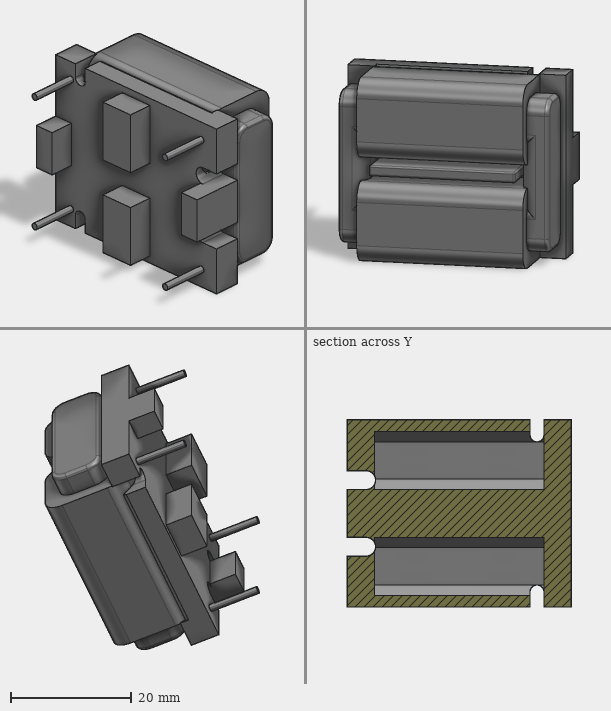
import cadquery as cq

plate_length = 37.34
plate_height = 31.23
plate_thickness = 5.0

pocket_length = 28.18
pocket_floor_y = 1.47
pocket_floor_end_z = 11.93
lip_tip_y = 4.01
lip_tip_z = 15.32
lip_edge_y = 3.47

edge_slot_width = 2.28
edge_slot_end_z = pocket_floor_end_z
side_slot_width = 3.1
side_slot_end_x = 13.95

foot_depth = 4.62
end_foot_length = 3.65
end_foot_height = 8.0
middle_foot_length = 6.4
middle_foot_height = 10.95
middle_foot_z = 8.78
pin_diameter = 1.2
pin_length = 8.66
pin_x = 15.15
pin_z = 12.27

core_length = 36.06
core_depth = 8.97
core_height = 26.06
core_y = 9.98
core_corner_radius = 2.58
core_end_radius = 0.72
window_length = 26.28
window_height = 9.14

winding_length = 28.45
winding_gap = 4.05
winding_depth = 14.4
winding_height = (plate_height - winding_gap) / 2
winding_z = (plate_height + winding_gap) / 4
winding_corner_radius = 3.12

divider_length = 25.0
divider_thickness = 1.8
divider_top_y = 15.6
divider_edge_radius = 0.3

SIDES = (-1, 1)


def block(length, height, y_start, y_end, x=0, z=0):
    """Box centred on (x, z) and reaching from y_start to y_end."""
    box = cq.Workplane("XY").box(length, y_end - y_start, height)
    return box.translate((x, (y_start + y_end) / 2, z))


def make_pockets():
    """One trapezoidal pocket per winding, with a ridge left standing between the two."""
    edge_z = plate_height / 2
    upper_half = [
        (lip_tip_y, 0),
        (lip_tip_y, 2 * winding_z - lip_tip_z),
        (pocket_floor_y, 2 * winding_z - pocket_floor_end_z),
        (pocket_floor_y, pocket_floor_end_z),
        (lip_tip_y, lip_tip_z),
        (lip_edge_y, edge_z),
        (plate_thickness, edge_z),
        (plate_thickness, 0),
    ]
    outline = cq.Workplane("YZ").polyline(upper_half).close()
    pocket = outline.extrude(pocket_length / 2, both=True)
    return pocket.union(pocket.mirror("XY"))


def open_slot(radius, x, z, mouth):
    """Slot through the plate: a round end centred on (x, z) joined to the straight mouth."""
    end = cq.Workplane("XZ").center(x, z).circle(radius).extrude(-plate_thickness)
    return end.union(mouth)


def make_edge_slot(side):
    """Slot running along Z out of the top or bottom edge, beside the -X end of the pockets."""
    radius = edge_slot_width / 2
    x = radius - pocket_length / 2
    z = side * (edge_slot_end_z + radius)
    edge_z = side * plate_height / 2
    mouth = block(edge_slot_width, abs(edge_z - z), 0, plate_thickness, x, (z + edge_z) / 2)
    return open_slot(radius, x, z, mouth)


def make_side_slot(side):
    """Slot running along X out of the +X edge, next to the end foot."""
    radius = side_slot_width / 2
    x = side_slot_end_x + radius
    z = side * (end_foot_height / 2 + radius)
    edge_x = plate_length / 2
    mouth = block(edge_x - x, side_slot_width, 0, plate_thickness, (x + edge_x) / 2, z)
    return open_slot(radius, x, z, mouth)


def make_plate():
    plate = block(plate_length, plate_height, 0, plate_thickness)
    plate = plate.cut(make_pockets())
    for side in SIDES:
        plate = plate.cut(make_edge_slot(side))
        plate = plate.cut(make_side_slot(side))
    return plate


def make_feet():
    end_foot_x = (plate_length - end_foot_length) / 2
    feet = cq.Workplane("XY")
    for side in SIDES:
        end_foot = block(end_foot_length, end_foot_height, -foot_depth, 0, x=side * end_foot_x)
        middle_foot = block(middle_foot_length, middle_foot_height, -foot_depth, 0, z=side * middle_foot_z)
        feet = feet.union(end_foot).union(middle_foot)
    return feet


def make_pins():
    corners = [(x * pin_x, z * pin_z) for x in SIDES for z in SIDES]
    return cq.Workplane("XZ").pushPoints(corners).circle(pin_diameter / 2).extrude(pin_length)


def make_core():
    y_start = core_y - core_depth / 2
    y_end = core_y + core_depth / 2
    core = block(core_length, core_height, y_start, y_end)
    core = core.edges("|X").fillet(core_corner_radius)
    core = core.faces("<X or >X").edges().fillet(core_end_radius)
    core = core.cut(block(window_length, window_height, y_start, y_end))
    rim_limit_x = core_length / 2 - core_corner_radius
    window_rim = cq.selectors.BoxSelector(
        (-rim_limit_x, core_y - core_depth, -window_height),
        (rim_limit_x, core_y + core_depth, window_height),
    )
    return core.faces("<Y or >Y").edges(window_rim).fillet(core_corner_radius)


def make_winding(side):
    y_start = core_y - winding_depth / 2
    y_end = core_y + winding_depth / 2
    winding = block(winding_length, winding_height, y_start, y_end, z=side * winding_z)
    return winding.edges("|X").fillet(winding_corner_radius)


def make_divider():
    divider = block(divider_length, divider_thickness, lip_tip_y, divider_top_y)
    return divider.edges("|Y or >Y").fillet(divider_edge_radius)


result = make_plate().union(make_feet()).union(make_pins())
result = result.union(make_core()).union(make_divider())
for side in SIDES:
    result = result.union(make_winding(side))